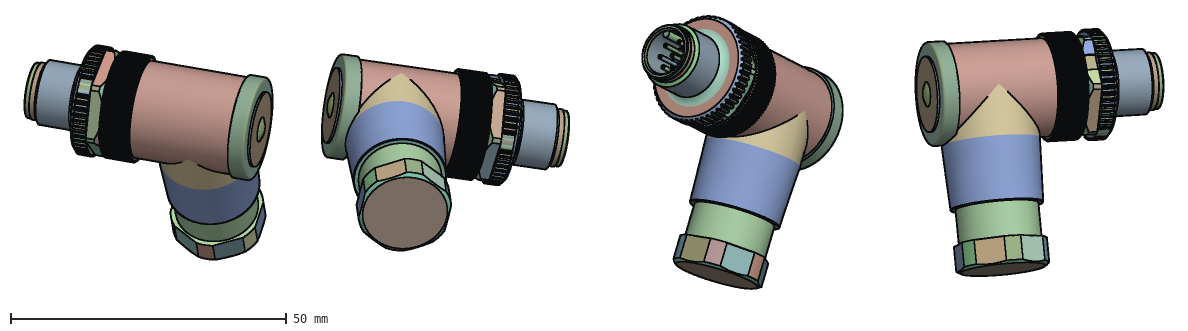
import cadquery as cq
import math


rim_radius = 10.3 / 2
rim_length = 0.95
collar_radius = 10.6 / 2
collar_end = 2.0
sleeve_radius = 12.0 / 2
sleeve_start = 2.45
sleeve_end = 8.75
neck_radius = 5.55
neck_start = 8.98
flare_middle = (9.72, 6.3)
edge_break = 0.18

bore_radius = 8.3 / 2
bore_depth = 7.9
bore_floor_edge = 0.2
mouth_radius = 4.5
mouth_depth = 0.3
key_width = 1.28
key_center_height = 3.55
key_start = 0.55
key_embedding = 0.45
pin_radius = 0.8 / 2
pin_circle_radius = 2.75
pin_spacing = 48.9
outer_pin_count = 7
pin_tip = 2.2

flare_radius = 7.4
nut_start = 10.05
nut_face_radius = 9.35
nut_radius = 10.1
nut_chamfer_length = 0.7
nut_ring_end = 13.1
nut_groove_count = 52
nut_groove_depth = 0.35
parting_angle = 50
parting_fade = 20

nut_hex_apothem = 8.9
nut_hex_radius = 10.0
nut_hex_end = 15.4
nut_hex_chamfer = 0.7
nut_slot_width = 3.12
nut_slot_depth = 0.35
nut_slot_angle = parting_angle + 90
gap_radius = 9.05

grip_start = 15.5
grip_radius = 9.85
grip_chamfer = 0.4
grip_end = 20.95
grip_groove_count = 102
grip_groove_depth = 0.2
flange_radius = 19.0 / 2
flange_end = 21.15

groove_mouth_share = 0.30
groove_floor_share = 0.12

body_radius = 18.0 / 2
cap_start = 39.85
cap_end = 42.95
cap_radius = 19.0 / 2
cap_round = 0.5
disc_radius = 6.9
disc_end = 43.35
dome_radius = 2.3
total_length = 44.0

branch_x = 32.2
branch_tilt = 20
taper_start = 9.45
taper_end = 21.3
taper_end_radius = 8.5
taper_edge = 0.15
stem_radius = 15.2 / 2
gland_start = 27.9
gland_end = 32.85
gland_apothem = 8.05
gland_radius = 8.55
gland_chamfer = 0.5
gland_end_radius = 7.75


def turned(points):
    """Solid of revolution about X from (x, radius) points."""
    return cq.Workplane("XY").polyline(points).close().revolve(360, (0, 0, 0), (1, 0, 0))


def across(x):
    """Plane across the plug axis: local x is -Y, local y is +Z, extruding toward -X."""
    return cq.Workplane(cq.Plane(origin=(x, 0, 0), xDir=(0, -1, 0), normal=(-1, 0, 0)))


def along_branch(distance):
    """Plane across the branch axis: local x is +X, extruding away from the housing."""
    tilt = math.radians(branch_tilt)
    direction = cq.Vector(0, math.sin(tilt), -math.cos(tilt))
    origin = cq.Vector(branch_x, 0, 0) + direction * distance
    return cq.Workplane(cq.Plane(origin=origin, xDir=(1, 0, 0), normal=direction))


def polar(radius, degrees):
    return (radius * math.cos(math.radians(degrees)), radius * math.sin(math.radians(degrees)))


def knurl_outline(radius, groove_count, first_angle, depth_at):
    """Toothed outline: each pitch has one trapezoidal groove."""
    pitch = 360 / groove_count
    points = []
    for index in range(groove_count):
        angle = first_angle + index * pitch
        floor = radius - depth_at(angle)
        points.append(polar(radius, angle - groove_mouth_share * pitch))
        points.append(polar(floor, angle - groove_floor_share * pitch))
        points.append(polar(floor, angle + groove_floor_share * pitch))
        points.append(polar(radius, angle + groove_mouth_share * pitch))
    return points


def hexagon(plane, apothem, first_corner, length):
    corner_radius = apothem / math.cos(math.radians(30))
    points = [polar(corner_radius, first_corner + 60 * side) for side in range(6)]
    return plane.polyline(points).close().extrude(length)


def make_shell():
    outline = (
        cq.Workplane("XY")
        .moveTo(0, 0)
        .lineTo(0, rim_radius - edge_break)
        .lineTo(edge_break, rim_radius)
        .lineTo(rim_length, rim_radius)
        .lineTo(rim_length, collar_radius)
        .lineTo(collar_end, collar_radius)
        .lineTo(sleeve_start, sleeve_radius)
        .lineTo(sleeve_end, sleeve_radius)
        .lineTo(neck_start, neck_radius)
        .threePointArc(flare_middle, (nut_start, flare_radius))
        .lineTo(nut_start, 0)
        .close()
    )
    return outline.revolve(360, (0, 0, 0), (1, 0, 0))


def make_bore():
    return turned([
        (0, 0),
        (0, mouth_radius),
        (mouth_depth, bore_radius),
        (bore_depth - bore_floor_edge, bore_radius),
        (bore_depth, bore_radius - bore_floor_edge),
        (bore_depth, 0),
    ])


def make_key():
    """Round-nosed rib along the top of the bore, its back buried in the shell wall."""
    length = bore_depth - key_start
    limit_radius = collar_radius - key_embedding
    top = (bore_radius + sleeve_radius) / 2
    stem_height = top - key_center_height
    nose = across(bore_depth).center(0, key_center_height).circle(key_width / 2).extrude(length)
    stem = (
        across(bore_depth)
        .center(0, key_center_height + stem_height / 2)
        .rect(key_width, stem_height)
        .extrude(length)
    )
    limit = across(bore_depth).circle(limit_radius).extrude(bore_depth)
    return nose.union(stem).intersect(limit)


def make_pins():
    places = [(0, 0)]
    for index in range(outer_pin_count):
        places.append(polar(pin_circle_radius, 270 + (index - outer_pin_count // 2) * pin_spacing))
    pins = across(bore_depth).pushPoints(places).circle(pin_radius).extrude(bore_depth - pin_tip)
    return pins.faces("<X").chamfer(edge_break)


def nut_groove_depth_at(angle):
    """Grooves grow shallower toward the two mould parting lines."""
    away = (angle - parting_angle) % 180
    away = min(away, 180 - away)
    return nut_groove_depth * min(1, away / parting_fade)


def make_nut_ring():
    pitch = 360 / nut_groove_count
    outline = knurl_outline(nut_radius, nut_groove_count, parting_angle + pitch / 2, nut_groove_depth_at)
    ring = across(nut_ring_end).polyline(outline).close().extrude(nut_ring_end - nut_start)
    envelope = turned([
        (nut_start, 0),
        (nut_start, nut_face_radius),
        (nut_start + nut_chamfer_length, nut_radius),
        (nut_ring_end, nut_radius),
        (nut_ring_end, 0),
    ])
    return ring.intersect(envelope)


def make_nut_hexagon():
    length = nut_hex_end - nut_ring_end
    hexagonal = hexagon(across(nut_hex_end), nut_hex_apothem, parting_angle, length)
    envelope = turned([
        (nut_ring_end, 0),
        (nut_ring_end, nut_hex_radius),
        (nut_hex_end - nut_hex_chamfer, nut_hex_radius),
        (nut_hex_end, nut_hex_radius - nut_hex_chamfer),
        (nut_hex_end, 0),
    ])
    slot = (
        across(nut_hex_end)
        .transformed(rotate=(0, 0, nut_slot_angle))
        .center(nut_hex_apothem, 0)
        .rect(2 * nut_slot_depth, nut_slot_width)
        .extrude(length)
    )
    gap = across(grip_start).circle(gap_radius).extrude(grip_start - nut_hex_end)
    return hexagonal.intersect(envelope).cut(slot).union(gap)


def make_grip():
    outline = knurl_outline(grip_radius, grip_groove_count, 0, lambda angle: grip_groove_depth)
    ring = across(grip_end).polyline(outline).close().extrude(grip_end - grip_start)
    envelope = turned([
        (grip_start, 0),
        (grip_start, grip_radius - grip_chamfer),
        (grip_start + grip_chamfer, grip_radius),
        (grip_end, grip_radius),
        (grip_end, 0),
    ])
    flange = across(flange_end).circle(flange_radius).extrude(flange_end - grip_end)
    return ring.intersect(envelope).union(flange)


def make_mitre():
    """Wedge with its apex on the plug axis, opening at 45 degrees to each side along the branch."""
    tilt = math.radians(branch_tilt)
    plane = cq.Plane(
        origin=(branch_x, 0, 0),
        xDir=(1, 0, 0),
        normal=(0, math.cos(tilt), math.sin(tilt)),
    )
    corners = [(0, 0), (-taper_start, taper_start), (taper_start, taper_start)]
    return cq.Workplane(plane).polyline(corners).close().extrude(cap_radius, both=True)


def make_housing():
    """Barrel and branch root are equal cylinders, joined on the two mitre planes."""
    mitre = make_mitre()
    barrel = across(cap_end).circle(body_radius).extrude(cap_end - flange_end).cut(mitre)
    root = along_branch(0).circle(body_radius).extrude(taper_start).intersect(mitre)
    return barrel.union(root)


def make_cap():
    cap = across(cap_end).circle(cap_radius).extrude(cap_end - cap_start).faces(">X").edges().fillet(cap_round)
    disc = across(disc_end).circle(disc_radius).extrude(disc_end - cap_end)
    return cap.union(disc)


def make_dome():
    height = total_length - disc_end
    sphere_radius = (dome_radius ** 2 + height ** 2) / (2 * height)
    half_angle = math.asin(dome_radius / sphere_radius) / 2
    middle = (
        total_length - sphere_radius * (1 - math.cos(half_angle)),
        sphere_radius * math.sin(half_angle),
    )
    outline = (
        cq.Workplane("XY")
        .moveTo(cap_end, 0)
        .lineTo(cap_end, dome_radius)
        .lineTo(disc_end, dome_radius)
        .threePointArc(middle, (total_length, 0))
        .close()
    )
    return outline.revolve(360, (0, 0, 0), (1, 0, 0))


def make_branch():
    taper = (
        along_branch(taper_start)
        .circle(body_radius)
        .workplane(offset=taper_end - taper_start)
        .circle(taper_end_radius)
        .loft()
        .faces(cq.selectors.DirectionMinMaxSelector(along_branch(0).plane.zDir, True))
        .chamfer(taper_edge)
    )
    stem = along_branch(taper_end).circle(stem_radius).extrude(gland_start - taper_end)
    return taper.union(stem)


def make_gland_nut():
    length = gland_end - gland_start
    hexagonal = hexagon(along_branch(gland_start), gland_apothem, 30, length)
    straight = along_branch(gland_start).circle(gland_radius).extrude(length - gland_chamfer)
    end = (
        along_branch(gland_end - gland_chamfer)
        .circle(gland_radius)
        .workplane(offset=gland_chamfer)
        .circle(gland_end_radius)
        .loft()
    )
    return hexagonal.intersect(straight.union(end))


result = (
    make_shell()
    .cut(make_bore())
    .union(make_key())
    .union(make_pins())
    .union(make_nut_ring())
    .union(make_nut_hexagon())
    .union(make_grip())
    .union(make_housing())
    .union(make_cap())
    .union(make_dome())
    .union(make_branch())
    .union(make_gland_nut())
)